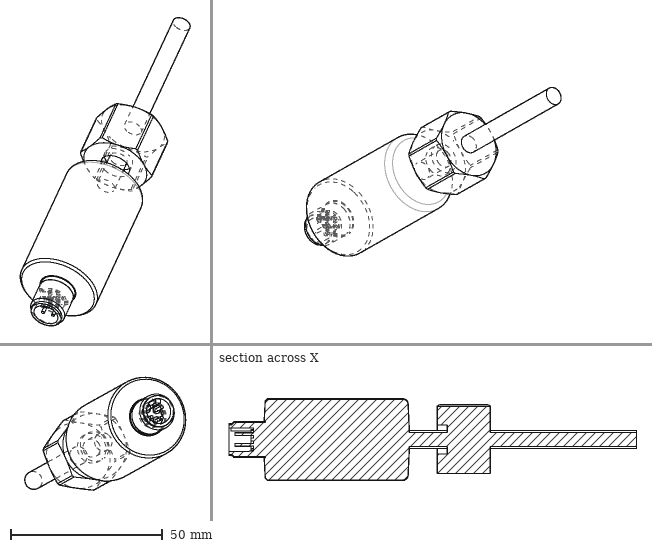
import cadquery as cq
import math


TOTAL_LENGTH = 134.5
ROD_DIAMETER = 6.0

HOUSING_DIAMETER = 27.0
HOUSING_FRONT = 11.3
HOUSING_REAR = 59.7
FRONT_CONE_RISE = 0.7
REAR_CONE_RISE = 0.5
FRONT_CHAMFER = 0.8
FRONT_RECESS_DIAMETER = 12.5
FRONT_RECESS_DEPTH = 0.7
REAR_ROUND = 1.9

PLUG_DIAMETER = 12.0
PLUG_TIP_DIAMETER = 10.5
PLUG_TIP_LENGTH = 1.0
PLUG_TIP_TAPER = 0.8
PLUG_NECK_DIAMETER = 11.8
PLUG_NECK_LENGTH = 1.0

SOCKET_DIAMETER = 8.3
SOCKET_DEPTH = 8.1
KEY_WIDTH = 1.6
KEY_HEIGHT = 1.3
KEY_RECESS = 0.7
ISLAND_DIAMETER = 6.9
ISLAND_HEIGHT = 0.8
PIN_COUNT = 4
PIN_DIAMETER = 1.0
PIN_CLEARANCE_DIAMETER = 2.4
PIN_CIRCLE_DIAMETER = 5.0
PIN_RECESS = 2.0
FIRST_PIN_ANGLE = 45.0

NUT_FRONT = 68.7
NUT_LENGTH = 17.5
NUT_ACROSS_FLATS = 22.0
NUT_CORNER_DIAMETER = 25.0
NUT_CHAMFER_ANGLE = 30.0
NUT_TURN = 35.1
NUT_BORE_DIAMETER = 10.0
NUT_BORE_DEPTH = 3.2


def cylinder(diameter, start, end, x=0.0, z=0.0):
    """Solid cylinder along +Y between two Y positions."""
    axis_start = cq.Vector(x, start, z)
    return cq.Workplane(cq.Solid.makeCylinder(diameter / 2, end - start, axis_start, cq.Vector(0, 1, 0)))


def revolve_about_y(profile):
    """Solid of revolution from a closed profile of radius (X) and Y."""
    return profile.close().revolve(360, (0, 0, 0), (0, 1, 0))


def make_housing():
    """Barrel with shallow conical ends, chamfered in front and rounded at the rear.

    A shallow round recess in the front face surrounds the plug.
    """
    radius = HOUSING_DIAMETER / 2
    front_rim = HOUSING_FRONT + FRONT_CONE_RISE
    rear_rim = HOUSING_REAR - REAR_CONE_RISE
    round_offset = REAR_ROUND * math.sqrt(0.5)
    profile = (
        cq.Workplane("XY")
        .moveTo(0, HOUSING_FRONT)
        .lineTo(radius - FRONT_CHAMFER, front_rim)
        .lineTo(radius, front_rim + FRONT_CHAMFER)
        .lineTo(radius, rear_rim - REAR_ROUND)
        .threePointArc(
            (radius - REAR_ROUND + round_offset, rear_rim - REAR_ROUND + round_offset),
            (radius - REAR_ROUND, rear_rim),
        )
        .lineTo(0, HOUSING_REAR)
    )
    recess = cylinder(FRONT_RECESS_DIAMETER, HOUSING_FRONT, HOUSING_FRONT + FRONT_RECESS_DEPTH)
    return revolve_about_y(profile).cut(recess)


def make_plug():
    """Round connector shell with a slightly thinner neck at its base and a reduced tip."""
    neck_front = HOUSING_FRONT - PLUG_NECK_LENGTH
    shell_front = PLUG_TIP_LENGTH + PLUG_TIP_TAPER
    recess_floor = HOUSING_FRONT + FRONT_RECESS_DEPTH
    profile = (
        cq.Workplane("XY")
        .moveTo(0, 0)
        .lineTo(PLUG_TIP_DIAMETER / 2, 0)
        .lineTo(PLUG_TIP_DIAMETER / 2, PLUG_TIP_LENGTH)
        .lineTo(PLUG_DIAMETER / 2, shell_front)
        .lineTo(PLUG_DIAMETER / 2, neck_front)
        .lineTo(PLUG_NECK_DIAMETER / 2, neck_front)
        .lineTo(PLUG_NECK_DIAMETER / 2, recess_floor)
        .lineTo(0, recess_floor)
    )
    return revolve_about_y(profile)


def make_socket():
    """Space inside the plug: a bore without the key, the contact pins and the floor island.

    Each pin stands in a round clearance that cuts into the island.
    """
    socket = cylinder(SOCKET_DIAMETER, 0, SOCKET_DEPTH)
    key_bottom = SOCKET_DIAMETER / 2 - KEY_HEIGHT
    key = cq.Workplane("XY").box(
        KEY_WIDTH, SOCKET_DEPTH - KEY_RECESS, SOCKET_DIAMETER, centered=(True, False, False)
    )
    socket = socket.cut(key.translate((0, KEY_RECESS, key_bottom)))
    island_front = SOCKET_DEPTH - ISLAND_HEIGHT
    socket = socket.cut(cylinder(ISLAND_DIAMETER, island_front, SOCKET_DEPTH))
    for index in range(PIN_COUNT):
        angle = math.radians(FIRST_PIN_ANGLE + index * 360 / PIN_COUNT)
        x = PIN_CIRCLE_DIAMETER / 2 * math.cos(angle)
        z = PIN_CIRCLE_DIAMETER / 2 * math.sin(angle)
        clearance = cylinder(PIN_CLEARANCE_DIAMETER, island_front, SOCKET_DEPTH, x, z)
        socket = socket.union(clearance).cut(cylinder(PIN_DIAMETER, PIN_RECESS, SOCKET_DEPTH, x, z))
    return socket


def make_nut():
    """Hexagon nut with chamfered ends and a blind bore that opens towards the housing."""
    nut_rear = NUT_FRONT + NUT_LENGTH
    corner_radius = NUT_CORNER_DIAMETER / 2
    face_radius = NUT_ACROSS_FLATS / 2
    chamfer_length = (corner_radius - face_radius) * math.tan(math.radians(NUT_CHAMFER_ANGLE))
    hexagon = (
        cq.Workplane("XZ", origin=(0, NUT_FRONT, 0))
        .polygon(6, NUT_ACROSS_FLATS, circumscribed=True)
        .extrude(-NUT_LENGTH)
        .rotate((0, 0, 0), (0, 1, 0), NUT_TURN)
    )
    turned_envelope = revolve_about_y(
        cq.Workplane("XY")
        .moveTo(0, NUT_FRONT)
        .lineTo(face_radius, NUT_FRONT)
        .lineTo(corner_radius, NUT_FRONT + chamfer_length)
        .lineTo(corner_radius, nut_rear - chamfer_length)
        .lineTo(face_radius, nut_rear)
        .lineTo(0, nut_rear)
    )
    bore = cylinder(NUT_BORE_DIAMETER, NUT_FRONT, NUT_FRONT + NUT_BORE_DEPTH)
    return hexagon.intersect(turned_envelope).cut(bore)


rod = cylinder(ROD_DIAMETER, HOUSING_REAR - REAR_CONE_RISE, TOTAL_LENGTH)
connector_body = make_housing().union(make_plug()).cut(make_socket())
result = connector_body.union(make_nut()).union(rod)